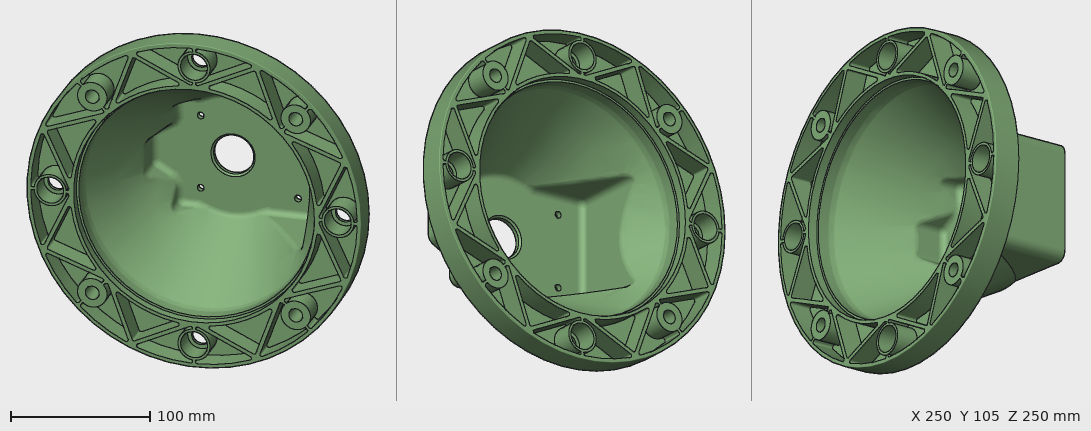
import cadquery as cq
import math

HEIGHT = 105.0
WALL = 3.0
FLOOR_Y = 100.0

FLANGE_DIA = 250.0
FLANGE_THICK = 21.0
FLANGE_EDGE_RADIUS = 0.5
POCKET_DEPTH = FLANGE_THICK - WALL
POCKET_INNER_RADIUS = 92.5
POCKET_OUTER_RADIUS = 122.0
POCKET_CORNER_RADIUS = 1.5

RIB_WIDTH = 3.0
RADIAL_RIB_WIDTH = 2.2
RIB_OVERRUN = 1.2
RIB_INNER_RADIUS = 90.5
RIB_OUTER_RADIUS = 121.5

HOLE_COUNT = 8
HOLE_STEP = 360.0 / HOLE_COUNT
HOLE_CIRCLE_RADIUS = 107.5
LARGE_BOSS_DIA = 24.0
LARGE_HOLE_DIA = 14.0
COUNTERBORE_DIA = 20.0
SMALL_BOSS_DIA = 22.0
SMALL_HOLE_DIA = 10.2

BORE_DIA = 180.0
BORE_DEPTH = 7.5
THROAT_DIA = 176.5
THROAT_BLEND_RADIUS = 10.0
CONE_BASE_RADIUS = 90.8
CONE_NOSE_RADIUS = 47.5
CONE_FOOT_RADIUS = 2.5

BOX_RIGHT = 73.0
BOX_LEFT = -43.2
BOX_HALF_WIDTH = 44.8
BOX_START_Y = FLANGE_THICK + 12.5
BOX_CORNER_RADIUS = 8.0
LOBE_LEFT = -61.8
LOBE_HALF_WIDTH = 14.0
LOBE_SLOPE = math.radians(30)
BOX_WALL = 2.5
FLOOR_FILLET = 5.0
BLEND_RADIUS = 5.0

SHAFT_HOLE_DIA = 30.0
SHAFT_CHAMFER = 1.5
SCREW_HOLE_DIA = 5.0
SCREW_X = (-24.2, 48.5)
SCREW_Z = (-28.0, 28.0)

CONE_SLOPE = (CONE_BASE_RADIUS - CONE_NOSE_RADIUS) / (HEIGHT - FLANGE_THICK)
CONE_WALL_RADIAL = WALL * math.hypot(1, CONE_SLOPE)
PLANE_TOLERANCE = 0.2


def plane_at(y):
    """Plane at height y; local x and y are the part's X and Z."""
    return cq.Workplane("XZ", origin=(0, y, 0))


def disc(diameter, y_start, y_end, points=((0, 0),)):
    return plane_at(y_start).pushPoints(points).circle(diameter / 2).extrude(y_start - y_end)


def cone_radius(y):
    return CONE_NOSE_RADIUS + (HEIGHT - y) * CONE_SLOPE


def polar(radius, degrees):
    angle = math.radians(degrees)
    return radius * math.cos(angle), radius * math.sin(angle)


def revolved(profile):
    return cq.Workplane("XY").polyline(profile).close().revolve(360, (0, 0, 0), (0, 1, 0))


def edges_at(body, y):
    """Edges of the body that lie in the plane at height y."""
    low = (-FLANGE_DIA, y - PLANE_TOLERANCE, -FLANGE_DIA)
    high = (FLANGE_DIA, y + PLANE_TOLERANCE, FLANGE_DIA)
    return body.edges(cq.selectors.BoxSelector(low, high))


def box_prism(y_start, y_end, inset):
    """The bulge's outline, moved inwards by the inset, as a prism with rounded upright edges."""
    slope_rise = (BOX_LEFT - LOBE_LEFT) * math.tan(LOBE_SLOPE)
    upper = [
        (LOBE_LEFT, LOBE_HALF_WIDTH),
        (BOX_LEFT, LOBE_HALF_WIDTH + slope_rise),
        (BOX_LEFT, BOX_HALF_WIDTH),
        (BOX_RIGHT, BOX_HALF_WIDTH),
    ]
    lower = [(x, -z) for x, z in reversed(upper)]
    prism = plane_at(y_start).polyline(upper + lower).close().extrude(y_start - y_end)
    prism = prism.edges("|Y").fillet(BOX_CORNER_RADIUS)
    if inset:
        outline = prism.faces("<Y").wires().val().offset2D(-inset)[0]
        solid = cq.Solid.extrudeLinear(outline, [], cq.Vector(0, y_end - y_start, 0))
        prism = cq.Workplane("XY").newObject([solid])
    return prism


def rib(start, end, width):
    """A straight rib between two points of the flange face, running a little past both."""
    length = math.dist(start, end) + 2 * RIB_OVERRUN
    angle = math.degrees(math.atan2(end[1] - start[1], end[0] - start[0]))
    bar = plane_at(0).rect(length, width).extrude(-POCKET_DEPTH)
    middle = ((start[0] + end[0]) / 2, 0, (start[1] + end[1]) / 2)
    return bar.rotate((0, 0, 0), (0, 1, 0), -angle).translate(middle)


def flange_pockets():
    """The ring of pockets left between the ribs and the bolt bosses."""
    pockets = disc(2 * POCKET_OUTER_RADIUS, 0, POCKET_DEPTH)
    pockets = pockets.cut(disc(2 * POCKET_INNER_RADIUS, 0, POCKET_DEPTH))
    for index in range(HOLE_COUNT):
        angle = index * HOLE_STEP
        near_bore = polar(RIB_INNER_RADIUS, angle)
        for side in (-1, 1):
            near_rim = polar(RIB_OUTER_RADIUS, angle + side * HOLE_STEP / 2)
            pockets = pockets.cut(rib(near_bore, near_rim, RIB_WIDTH))
        pockets = pockets.cut(rib(near_bore, polar(FLANGE_DIA / 2, angle), RADIAL_RIB_WIDTH))
    pockets = pockets.edges("|Y").fillet(POCKET_CORNER_RADIUS)
    pockets = pockets.cut(disc(LARGE_BOSS_DIA, 0, POCKET_DEPTH, large_points))
    return pockets.cut(disc(SMALL_BOSS_DIA, 0, POCKET_DEPTH, small_points))


def cavity():
    """The hollow inside: bore, throat, cone and bulge, with blended seams and a rounded floor edge."""
    throat_radius = THROAT_DIA / 2
    throat_end = HEIGHT - (throat_radius + CONE_WALL_RADIAL - CONE_NOSE_RADIUS) / CONE_SLOPE
    profile = [
        (0, 0),
        (throat_radius, 0),
        (throat_radius, throat_end),
        (cone_radius(FLOOR_Y) - CONE_WALL_RADIAL, FLOOR_Y),
        (0, FLOOR_Y),
    ]
    hollow = revolved(profile)
    hollow = edges_at(hollow, throat_end).fillet(THROAT_BLEND_RADIUS)
    hollow = hollow.union(box_prism(FLANGE_THICK, FLOOR_Y, BOX_WALL))
    hollow = hollow.edges("%HYPERBOLA or %BSPLINE").fillet(BLEND_RADIUS)
    hollow = hollow.faces(">Y").edges().fillet(FLOOR_FILLET)
    return hollow.union(disc(BORE_DIA, 0, BORE_DEPTH))


def shell():
    """Flange, cone and bulge before anything is cut away."""
    flange = disc(FLANGE_DIA, 0, FLANGE_THICK).edges().fillet(FLANGE_EDGE_RADIUS)
    cone_profile = [
        (0, FLANGE_THICK),
        (CONE_BASE_RADIUS, FLANGE_THICK),
        (CONE_NOSE_RADIUS, HEIGHT),
        (0, HEIGHT),
    ]
    body = flange.union(revolved(cone_profile))
    foot_edges = [
        edge
        for edge in body.edges("%CIRCLE").vals()
        if abs(edge.radius() - CONE_BASE_RADIUS) < PLANE_TOLERANCE
    ]
    body = body.newObject(foot_edges).fillet(CONE_FOOT_RADIUS)
    return body.union(box_prism(BOX_START_Y, HEIGHT, 0))


def shaft_hole():
    """The central hole, chamfered on its inner side."""
    chamfer_radius = SHAFT_HOLE_DIA / 2 + SHAFT_CHAMFER
    chamfer = plane_at(FLOOR_Y).circle(chamfer_radius).extrude(-SHAFT_CHAMFER, taper=45)
    return disc(SHAFT_HOLE_DIA, FLOOR_Y, HEIGHT).union(chamfer)


large_points = [polar(HOLE_CIRCLE_RADIUS, index * HOLE_STEP) for index in range(0, HOLE_COUNT, 2)]
small_points = [polar(HOLE_CIRCLE_RADIUS, index * HOLE_STEP) for index in range(1, HOLE_COUNT, 2)]
screw_points = [(x, z) for x in SCREW_X for z in SCREW_Z]

housing = shell()
housing = housing.cut(cavity())
housing = housing.cut(flange_pockets())
housing = housing.cut(disc(COUNTERBORE_DIA, 0, POCKET_DEPTH, large_points))
housing = housing.cut(disc(LARGE_HOLE_DIA, 0, FLANGE_THICK, large_points))
housing = housing.cut(disc(SMALL_HOLE_DIA, 0, FLANGE_THICK, small_points))
housing = housing.cut(shaft_hole())
housing = housing.cut(disc(SCREW_HOLE_DIA, FLOOR_Y, HEIGHT, screw_points))

result = housing